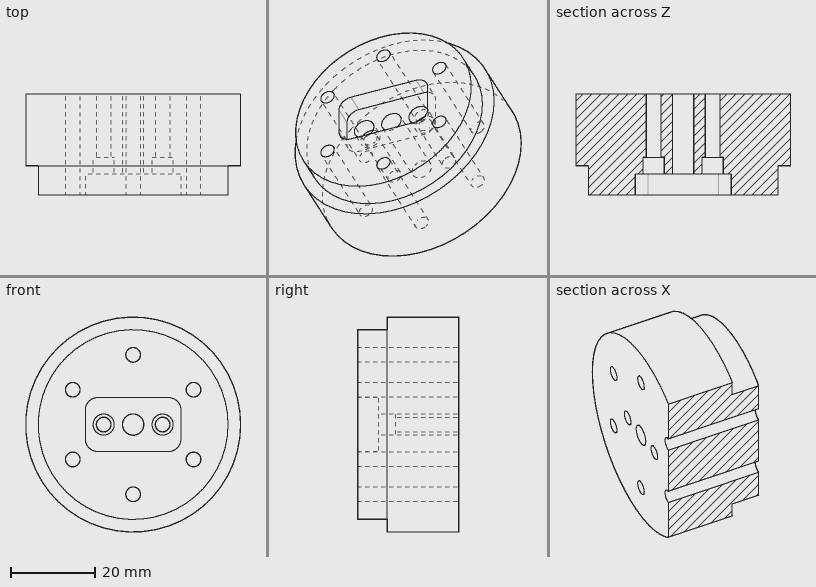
import cadquery as cq

flange_diameter = 51.0
boss_diameter = 45.0
total_depth = 24.0
boss_depth = 7.0

ring_hole_count = 6
ring_hole_diameter = 3.4
ring_radius = 16.5

pocket_width = 22.7
pocket_height = 12.8
pocket_corner_radius = 3.0
pocket_depth = 5.0

center_hole_diameter = 5.0
screw_hole_diameter = 3.4
screw_offset = 7.0
counterbore_diameter = 5.0
counterbore_depth = 4.0


def face_plane(depth):
    """Plane parallel to the boss face, sunk by depth; negative extrusions go into the part."""
    return cq.Workplane("XZ", origin=(0, depth, 0))


def cylinder(diameter, start, end):
    """Cylinder along Y between two depths below the boss face."""
    return face_plane(start).circle(diameter / 2).extrude(start - end)


def make_body():
    boss = cylinder(boss_diameter, 0, boss_depth)
    flange = cylinder(flange_diameter, boss_depth, total_depth)
    return boss.union(flange)


def make_pocket():
    block = face_plane(0).rect(pocket_width, pocket_height).extrude(-pocket_depth)
    return block.edges("|Y").fillet(pocket_corner_radius)


def make_ring_holes():
    holes = face_plane(0).polarArray(ring_radius, 90, 360, ring_hole_count)
    return holes.circle(ring_hole_diameter / 2).extrude(-total_depth)


def make_screw_hole(x):
    counterbore = cylinder(counterbore_diameter, pocket_depth, pocket_depth + counterbore_depth)
    shank = cylinder(screw_hole_diameter, pocket_depth, total_depth)
    return counterbore.union(shank).translate((x, 0, 0))


result = make_body().cut(make_pocket()).cut(make_ring_holes())
result = result.cut(cylinder(center_hole_diameter, 0, total_depth))
for side in (-1, 1):
    result = result.cut(make_screw_hole(side * screw_offset))